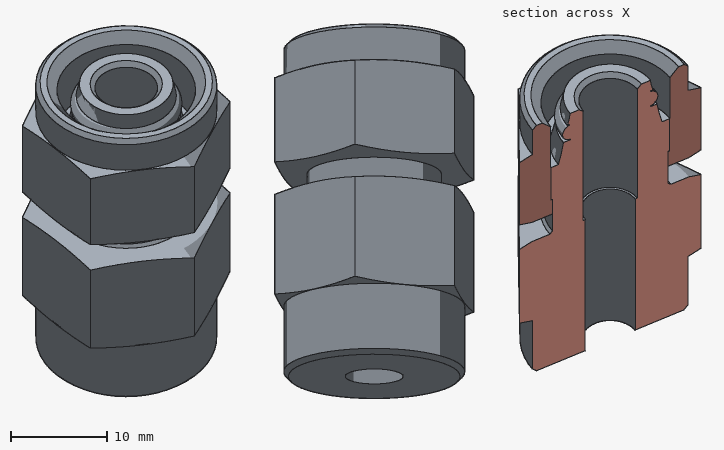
import cadquery as cq
import math

total_height = 35.5
across_flats = 19.0
sleeve_diameter = 18.8
hex_chamfer_angle = math.radians(15)

body_hex_bottom = 7.5
body_hex_top = 19.0
end_chamfer = 0.5
neck_diameter = 14.0
neck_foot_chamfer = 0.32
through_bore_diameter = 6.0
tip_bore_diameter = 6.5
tip_bore_chamfer = 0.5

tip_z = 35.2
tip_radius = 4.85
cone_half_angle = math.radians(12)
bead_section_diameter = 2.2
bead_outer_radius = 5.8
bead_top = tip_z - 1.6
seat_z = tip_z - 6.67

nut_bottom = 21.7
nut_hex_top = 31.52
nut_bore_diameter = 14.38
nut_ledge_thickness = 2.13
nut_rim_chamfer = 0.45
nut_mouth_radius = 8.25
nut_mouth_depth = 1.05

hex_corner_diameter = across_flats / math.cos(math.pi / 6)
sleeve_radius = sleeve_diameter / 2
neck_radius = neck_diameter / 2
nut_bore_radius = nut_bore_diameter / 2
shoulder_bottom = nut_bottom + nut_ledge_thickness
bead_section_radius = bead_section_diameter / 2
bead_center_radius = bead_outer_radius - bead_section_radius
bead_center_z = bead_top - bead_section_radius
bead_bottom = bead_top - bead_section_diameter


def revolve_profile(profile):
    """Turn a closed (radius, z) outline around the Z axis."""
    return profile.close().revolve(360, (0, 0, 0), (0, 1, 0))


def chamfered_hex(bottom, top):
    """Hexagon with corners on +Y and -Y and conically chamfered ends."""
    prism = (
        cq.Workplane("XY", origin=(0, 0, bottom))
        .polygon(6, hex_corner_diameter)
        .extrude(top - bottom)
        .rotate((0, 0, 0), (0, 0, 1), 30)
    )
    flat_radius = across_flats / 2
    corner_radius = hex_corner_diameter / 2
    corner_drop = (corner_radius - flat_radius) * math.tan(hex_chamfer_angle)
    envelope = revolve_profile(
        cq.Workplane("XZ")
        .moveTo(0, bottom)
        .lineTo(flat_radius, bottom)
        .lineTo(corner_radius, bottom + corner_drop)
        .lineTo(corner_radius, top - corner_drop)
        .lineTo(flat_radius, top)
        .lineTo(0, top)
    )
    return prism.intersect(envelope)


def cone_radius(z):
    """Radius of the sealing cone at height z."""
    return tip_radius + (tip_z - z) * math.tan(cone_half_angle)


def make_lower_sleeve():
    """Round end below the body hexagon."""
    sleeve = cq.Workplane("XY").circle(sleeve_radius).extrude(body_hex_bottom)
    return sleeve.faces("<Z").edges().chamfer(end_chamfer)


def make_nipple():
    """Neck, shoulder held inside the nut, and sealing cone with its bead."""
    return revolve_profile(
        cq.Workplane("XZ")
        .moveTo(0, body_hex_top)
        .lineTo(neck_radius + neck_foot_chamfer, body_hex_top)
        .lineTo(neck_radius, body_hex_top + neck_foot_chamfer)
        .lineTo(neck_radius, shoulder_bottom)
        .lineTo(nut_bore_radius, shoulder_bottom)
        .lineTo(nut_bore_radius, seat_z)
        .lineTo(cone_radius(seat_z), seat_z)
        .lineTo(cone_radius(bead_bottom), bead_bottom)
        .lineTo(bead_center_radius, bead_bottom)
        .threePointArc((bead_outer_radius, bead_center_z), (bead_center_radius, bead_top))
        .lineTo(cone_radius(bead_top), bead_top)
        .lineTo(tip_radius, tip_z)
        .lineTo(0, tip_z)
    )


def make_bore():
    """Through bore, wider above the hexagon and chamfered at the tip."""
    through_radius = through_bore_diameter / 2
    tip_bore_radius = tip_bore_diameter / 2
    return revolve_profile(
        cq.Workplane("XZ")
        .lineTo(through_radius, 0)
        .lineTo(through_radius, body_hex_top)
        .lineTo(tip_bore_radius, body_hex_top)
        .lineTo(tip_bore_radius, tip_z - tip_bore_chamfer)
        .lineTo(tip_bore_radius + tip_bore_chamfer, tip_z)
        .lineTo(0, tip_z)
    )


def make_fitting_body():
    body = make_lower_sleeve().union(chamfered_hex(body_hex_bottom, body_hex_top))
    return body.union(make_nipple()).cut(make_bore())


def make_nut_cavity():
    """Neck hole, bore around the shoulder and conical mouth of the nut."""
    return revolve_profile(
        cq.Workplane("XZ")
        .moveTo(0, nut_bottom)
        .lineTo(neck_radius, nut_bottom)
        .lineTo(neck_radius, shoulder_bottom)
        .lineTo(nut_bore_radius, shoulder_bottom)
        .lineTo(nut_bore_radius, total_height - nut_mouth_depth)
        .lineTo(nut_mouth_radius, total_height)
        .lineTo(0, total_height)
    )


def make_swivel_nut():
    collar = (
        cq.Workplane("XY", origin=(0, 0, nut_hex_top))
        .circle(sleeve_radius)
        .extrude(total_height - nut_hex_top)
        .faces(">Z").edges().chamfer(nut_rim_chamfer)
    )
    return chamfered_hex(nut_bottom, nut_hex_top).union(collar).cut(make_nut_cavity())


fitting_body = make_fitting_body()
swivel_nut = make_swivel_nut()
result = cq.Compound.makeCompound([fitting_body.val(), swivel_nut.val()])